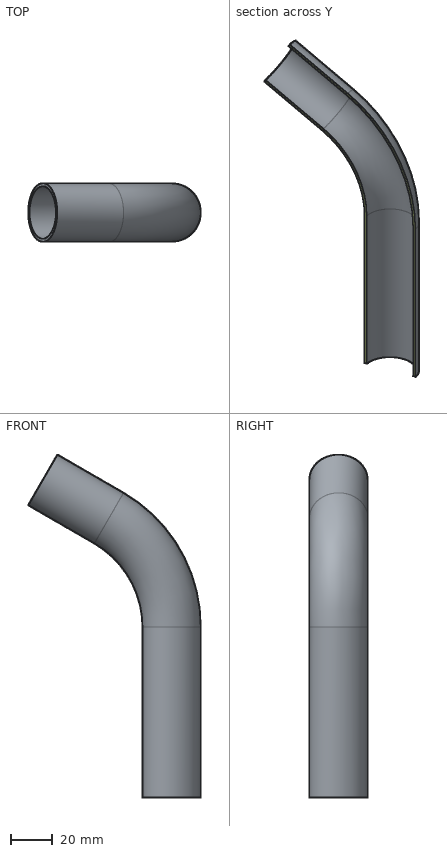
import cadquery as cq
import math

outer_diameter = 28.0
wall = 1.5
bend_radius = 60.0
bend_angle = 60
overall_height = 163.6
short_leg_length = 36.3

outer_radius = outer_diameter / 2
inner_radius = outer_radius - wall
bend_cos = math.cos(math.radians(bend_angle))
bend_sin = math.sin(math.radians(bend_angle))

bend_rise = bend_radius * bend_sin
short_leg_rise = short_leg_length * bend_cos
rim_rise = outer_radius * bend_sin
long_leg_length = overall_height - bend_rise - short_leg_rise - rim_rise


def point_on_bend(angle):
    """Centreline point (X, Z) after turning by the given angle in degrees."""
    turn = math.radians(angle)
    x = -bend_radius * (1 - math.cos(turn))
    z = long_leg_length + bend_radius * math.sin(turn)
    return x, z


bend_end_x, bend_end_z = point_on_bend(bend_angle)
tube_end = (
    bend_end_x - short_leg_length * bend_sin,
    bend_end_z + short_leg_rise,
)

centreline = (
    cq.Workplane("XZ")
    .moveTo(0, 0)
    .lineTo(0, long_leg_length)
    .threePointArc(point_on_bend(bend_angle / 2), (bend_end_x, bend_end_z))
    .lineTo(*tube_end)
)

result = (
    cq.Workplane("XY")
    .circle(outer_radius)
    .circle(inner_radius)
    .sweep(centreline)
)